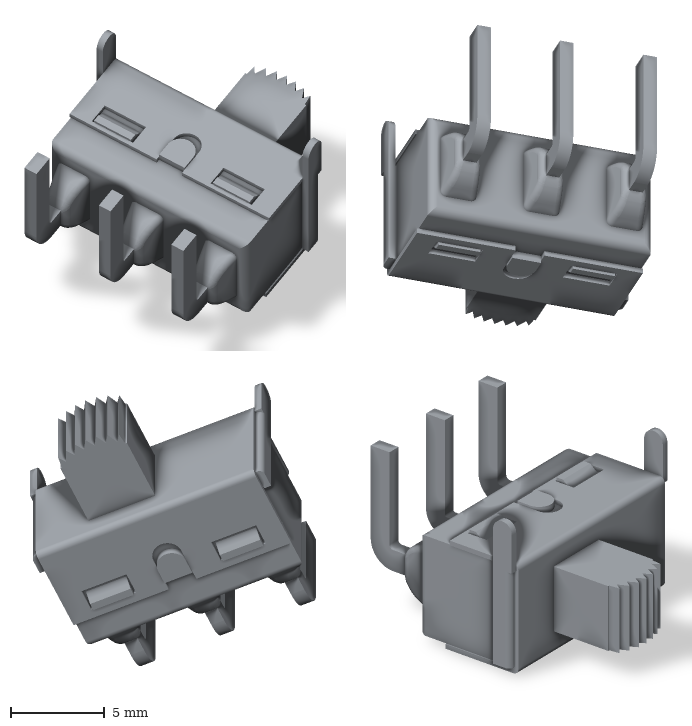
import cadquery as cq
import math


housing_half_width = 6.31
housing_half_height = 3.03
housing_edge_radius = 0.43
relief_depth = 0.11
relief_start = 5.1
relief_full = 5.77

cover_half_width = 6.39
cover_back = 6.77
sheet = 0.28
cover_half_height = housing_half_height + sheet
cover_bend_radius = 0.35
top_flange_front = 2.13
bottom_flange_front = 1.83

ear_half_span = 6.78
ear_thickness = 0.4
ear_web_inset = 0.08
ear_front = 5.36
ear_width = 1.26
ear_top = 5.88
ear_half_height = 2.92
ear_bend_back = 6.5
ear_bend_radius = 0.32

latch_half_height = 3.47
latch_front = 2.37
latch_spacing = 7.6
window_width = 2.63
window_back = 3.63
tooth_width = 2.37
tooth_crest = 2.79
tooth_back = 3.35
tongue_width = 1.62
tongue_back = 4.02
slot_back = 4.6

slider_center = 1.34
slider_size = 3.91
slider_shoulder = 10.44
slider_tip = 11.53
crown_radius = 3.78
tooth_depth = 0.52
crown_half_base = 1.86
half_pitch_angle = 4.7
teeth_each_side = 3

pin_pitch = 4.7
pin_thickness = 1.28
pin_top = 6.47
overall_length = 15.77
pin_reach = overall_length - slider_tip
outer_pin_width = 0.77
outer_pin_bend = 0.24
middle_pin_width = 0.74
middle_pin_bend = 0.13
middle_pin_setback = 0.08
boss_length = 1.88
boss_half_height = 1.91
boss_half_width = 1.03
boss_tip_half_width = 0.41
boss_edge_radius = 0.35
boss_side_shoulder = (0.7, 1.69)
boss_side_arc_middle = (1.39, 1.31)
boss_plan_shoulder = (1.4, 0.73)
boss_plan_arc_middle = (1.72, 0.62)


def box(x_range, y_range, z_range):
    size = [high - low for low, high in (x_range, y_range, z_range)]
    corner = (x_range[0], y_range[0], z_range[0])
    return cq.Workplane("XY").box(*size, centered=False).translate(corner)


def prism_along_x(outline, width):
    """Extrude a closed YZ outline symmetrically about X = 0."""
    return outline.extrude(width / 2, both=True)


def make_housing():
    outline = (
        cq.Workplane("YZ")
        .moveTo(0, -housing_half_height)
        .lineTo(relief_start, -housing_half_height)
        .lineTo(relief_full, -housing_half_height + relief_depth)
        .lineTo(cover_back - sheet, -housing_half_height + relief_depth)
        .lineTo(cover_back - sheet, housing_half_height)
        .lineTo(0, housing_half_height)
        .close()
    )
    body = prism_along_x(outline, 2 * housing_half_width)
    return body.faces("<Y").edges().fillet(housing_edge_radius)


def round_ended_strip(back, front, z_low, z_high):
    """Strip along Y at X = 0, as wide as the tongue, with a half-round back end."""
    radius = tongue_width / 2
    return (
        cq.Workplane("XY", origin=(0, 0, z_low))
        .moveTo(-radius, front)
        .lineTo(-radius, back - radius)
        .threePointArc((0, back), (radius, back - radius))
        .lineTo(radius, front)
        .close()
        .extrude(z_high - z_low)
    )


def make_cover():
    full = (-cover_half_width, cover_half_width)
    inner_back = cover_back - sheet
    back = box(full, (inner_back, cover_back), (-cover_half_height, cover_half_height))
    top = box(full, (top_flange_front, cover_back), (housing_half_height, cover_half_height))
    bottom = box(full, (bottom_flange_front, cover_back), (-cover_half_height, -housing_half_height))
    cover = back.union(top).union(bottom)
    cover = cover.edges("|X and >Y").fillet(cover_bend_radius)

    z_through = (-cover_half_height, cover_half_height)
    for side in (-1, 1):
        center = side * latch_spacing / 2
        x_range = (center - window_width / 2, center + window_width / 2)
        cover = cover.cut(box(x_range, (latch_front, window_back), z_through))
    return cover.cut(round_ended_strip(slot_back, 0, *z_through))


def make_ear():
    """Ear on the +X side: a round-topped tab above a strip bent from the back of the cover."""
    x_inner = ear_half_span - ear_thickness
    x_range = (x_inner, ear_half_span)
    z_range = (-ear_half_height, ear_half_height)
    ear_back = ear_front + ear_width
    round_start = ear_top - ear_width / 2
    tab = (
        cq.Workplane("YZ", origin=(x_inner, 0, 0))
        .moveTo(ear_front, ear_half_height)
        .lineTo(ear_front, round_start)
        .threePointArc((ear_front + ear_width / 2, ear_top), (ear_back, round_start))
        .lineTo(ear_back, ear_half_height)
        .close()
        .extrude(ear_thickness)
    )
    strip = box(x_range, (ear_front, ear_bend_back), z_range)
    strip = strip.edges("|Z and >X and >Y").fillet(ear_bend_radius)
    web = box((housing_half_width, x_inner), (ear_front + ear_web_inset, ear_bend_back), z_range)
    return tab.union(strip).union(web)


def make_top_latches():
    tooth = prism_along_x(
        cq.Workplane("YZ")
        .moveTo(latch_front, 0)
        .lineTo(latch_front, latch_half_height)
        .lineTo(tooth_crest, latch_half_height)
        .lineTo(tooth_back, housing_half_height)
        .lineTo(tooth_back, 0)
        .close(),
        tooth_width,
    )
    latches = round_ended_strip(tongue_back, latch_front, 0, latch_half_height)
    for side in (-1, 1):
        latches = latches.union(tooth.translate((side * latch_spacing / 2, 0, 0)))
    return latches


def crown_points():
    """Zigzag of tips and valleys, both following the crown arc."""
    points = []
    for step in range(-2 * teeth_each_side, 2 * teeth_each_side + 1):
        angle = math.radians(step * half_pitch_angle)
        drop = crown_radius * (1 - math.cos(angle))
        if step % 2:
            drop += tooth_depth
        points.append((crown_radius * math.sin(angle), slider_tip - drop))
    return points


def make_slider():
    half = slider_size / 2
    outline = [(half, slider_shoulder), (half, cover_back - sheet)]
    outline += [(-half, cover_back - sheet), (-half, slider_shoulder)]
    outline += [(-crown_half_base, slider_shoulder)]
    outline += crown_points()
    outline += [(crown_half_base, slider_shoulder)]
    slider = cq.Workplane("XY").polyline(outline).close().extrude(half, both=True)
    return slider.translate((slider_center, 0, 0))


def boss_outline(plane, base_half, shoulder, arc_middle, tip_half):
    """Symmetric boss outline: straight flanks from the base, then arcs in to a flat tip."""

    def point(distance, offset):
        return (offset, -distance) if plane == "XY" else (-distance, offset)

    def mirrored(place):
        return point(place[0], -place[1])

    return (
        cq.Workplane(plane)
        .moveTo(*point(0, -base_half))
        .lineTo(*point(0, base_half))
        .lineTo(*point(*shoulder))
        .threePointArc(point(*arc_middle), point(boss_length, tip_half))
        .lineTo(*point(boss_length, -tip_half))
        .threePointArc(mirrored(arc_middle), mirrored(shoulder))
        .close()
    )


def make_boss():
    """Tapered boss: the overlap of its side outline and its plan outline, with softened edges."""
    side = boss_outline(
        "YZ", boss_half_height, boss_side_shoulder, boss_side_arc_middle, pin_thickness / 2
    )
    plan = boss_outline(
        "XY", boss_half_width, boss_plan_shoulder, boss_plan_arc_middle, boss_tip_half_width
    )
    boss = prism_along_x(side, 2 * boss_half_width)
    boss = boss.intersect(plan.extrude(boss_half_height, both=True))
    return boss.edges("not(#Y or |X or |Z)").fillet(boss_edge_radius)


def make_pin(width, reach, inner_radius):
    """L-shaped pin centred on X = 0, leaving the housing along -Y and turning up."""
    half = pin_thickness / 2
    pin = prism_along_x(
        cq.Workplane("YZ")
        .moveTo(0, -half)
        .lineTo(-reach, -half)
        .lineTo(-reach, pin_top)
        .lineTo(-reach + pin_thickness, pin_top)
        .lineTo(-reach + pin_thickness, half)
        .lineTo(0, half)
        .close(),
        width,
    )
    pin = pin.edges("|X and <Y and <Z").fillet(inner_radius + pin_thickness)
    inner_corner = cq.selectors.NearestToPointSelector((0, -reach + pin_thickness, half))
    return pin.edges("|X").edges(inner_corner).fillet(inner_radius)


result = make_housing().union(make_cover()).union(make_slider())

ear = make_ear()
result = result.union(ear).union(ear.mirror("YZ"))

latches = make_top_latches()
result = result.union(latches).union(latches.mirror("XY"))

boss = make_boss()
outer_pin = make_pin(outer_pin_width, pin_reach, outer_pin_bend)
middle_pin = make_pin(middle_pin_width, pin_reach - middle_pin_setback, middle_pin_bend)
for place, pin in ((-1, outer_pin), (0, middle_pin), (1, outer_pin)):
    terminal = boss.union(pin)
    result = result.union(terminal.translate((place * pin_pitch, 0, 0)))